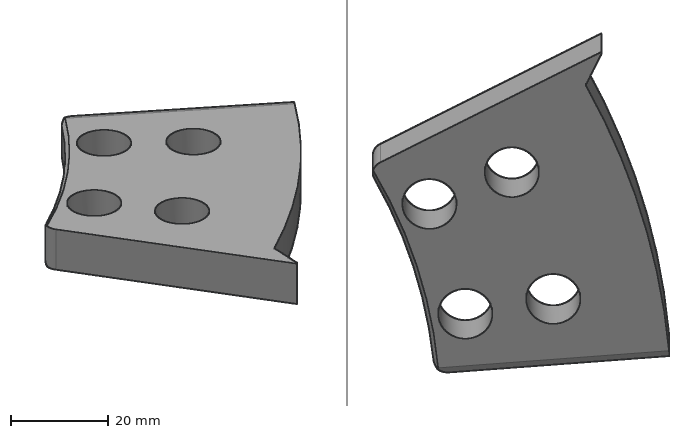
import cadquery as cq
import math

thickness = 9.5
inner_radius = 111.1
outer_radius = 159.55
sector_angle = 24.0
side_offset = 1.0
corner_radius = 3.0

lip_tip_x = 165.85
lip_tip_height = 0.35
lip_root_height = 5.0

upper_bevel_width = 1.5
upper_bevel_depth = 0.4
inner_bevel_width = 0.9
inner_bevel_depth = 1.0

hole_diameter = 11.15
hole_circle_radii = (119.15, 137.5)
hole_spread = 6.2
hole_angles = (sector_angle / 2 - hole_spread, sector_angle / 2 + hole_spread)


def point_at(radius, degrees):
    angle = math.radians(degrees)
    return (radius * math.cos(angle), radius * math.sin(angle))


def angle_at_height(radius, height):
    return math.degrees(math.asin(height / radius))


def upper_side_angle(radius):
    """Polar angle where a circle about the ring axis meets the upper side."""
    return sector_angle + angle_at_height(radius, side_offset)


def bevelled_profile(plane, edge, far, bevel_width, bevel_depth):
    """Cross-section from edge to far, with both corners at the edge bevelled."""
    direction = math.copysign(1, far - edge)
    face_start = edge + direction * bevel_width
    return cq.Workplane(plane).polyline([
        (edge, bevel_depth),
        (face_start, 0),
        (far, 0),
        (far, thickness),
        (face_start, thickness),
        (edge, thickness - bevel_depth),
    ]).close()


def sector_plate():
    outer_end = upper_side_angle(outer_radius)
    inner_end = upper_side_angle(inner_radius)
    outer_start = angle_at_height(outer_radius, lip_root_height - side_offset)
    inner_start = -angle_at_height(inner_radius, side_offset)
    inner_lower_corner = point_at(inner_radius, inner_start)
    inner_upper_corner = point_at(inner_radius, inner_end)
    plate = (
        cq.Workplane("XY")
        .moveTo(*inner_lower_corner)
        .lineTo(lip_tip_x, -side_offset)
        .lineTo(lip_tip_x, lip_tip_height - side_offset)
        .lineTo(*point_at(outer_radius, outer_start))
        .threePointArc(
            point_at(outer_radius, (outer_start + outer_end) / 2),
            point_at(outer_radius, outer_end),
        )
        .lineTo(*inner_upper_corner)
        .threePointArc(point_at(inner_radius, (inner_start + inner_end) / 2), inner_lower_corner)
        .close()
        .extrude(thickness)
    )
    for x, y in (inner_lower_corner, inner_upper_corner):
        corner_edge = cq.selectors.NearestToPointSelector((x, y, thickness / 2))
        plate = plate.edges("|Z").edges(corner_edge).fillet(corner_radius)
    return plate


def inner_bevel_envelope():
    """Ring with conical bevels around its bore."""
    profile = bevelled_profile("XZ", inner_radius, 2 * outer_radius, inner_bevel_width, inner_bevel_depth)
    return profile.revolve(360, (0, 0), (0, 1))


def upper_bevel_envelope():
    """Straight bar whose bevelled edge lies along the upper side."""
    profile = bevelled_profile("YZ", side_offset, -outer_radius, upper_bevel_width, upper_bevel_depth)
    bar = profile.extrude(2 * outer_radius)
    return bar.rotate((0, 0, 0), (0, 0, 1), sector_angle)


hole_centers = [point_at(radius, angle) for radius in hole_circle_radii for angle in hole_angles]
holes = cq.Workplane("XY").pushPoints(hole_centers).circle(hole_diameter / 2).extrude(thickness)

result = (
    sector_plate()
    .intersect(inner_bevel_envelope())
    .intersect(upper_bevel_envelope())
    .cut(holes)
)